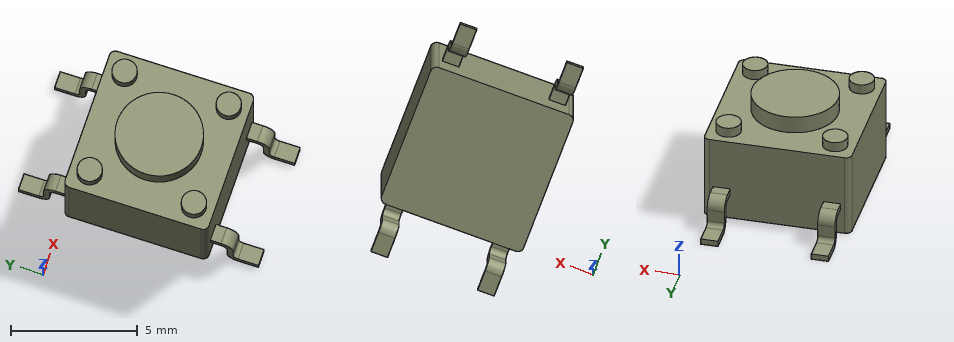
import cadquery as cq

body_side = 6.0
body_bottom = 0.1
body_top = 3.65
corner_radius = 0.25

button_diameter = 3.5
button_top = 4.38
peg_diameter = 1.0
peg_top = 4.07
peg_offset = 2.17

lead_span = 10.0
lead_width = 0.7
lead_thickness = 0.25
lead_offset = 2.25
lead_top = 1.46
riser_outer_y = 3.95
shoulder_radius = 0.5
foot_radius = 0.45
lead_embed = 0.1


def make_body():
    height = body_top - body_bottom
    block = cq.Workplane("XY").workplane(offset=body_bottom).rect(body_side, body_side).extrude(height)
    return block.edges("|Z").fillet(corner_radius)


def make_round_tops():
    button = cq.Workplane("XY").workplane(offset=body_top)
    button = button.circle(button_diameter / 2).extrude(button_top - body_top)
    pegs = (
        cq.Workplane("XY")
        .workplane(offset=body_top)
        .rect(2 * peg_offset, 2 * peg_offset, forConstruction=True)
        .vertices()
        .circle(peg_diameter / 2)
        .extrude(peg_top - body_top)
    )
    return button.union(pegs)


def make_lead():
    """Lead on the +Y side, centred on X = 0."""
    root_y = body_side / 2 - lead_embed
    tip_y = lead_span / 2
    riser_inner_y = riser_outer_y - lead_thickness
    shoulder_inner = shoulder_radius - lead_thickness
    foot_inner = foot_radius - lead_thickness
    shoulder_y = riser_outer_y - shoulder_radius
    shoulder_z = lead_top - shoulder_radius
    foot_y = riser_inner_y + foot_radius
    profile = (
        cq.Workplane("YZ")
        .moveTo(root_y, lead_top)
        .lineTo(shoulder_y, lead_top)
        .radiusArc((riser_outer_y, shoulder_z), shoulder_radius)
        .lineTo(riser_outer_y, foot_radius)
        .radiusArc((foot_y, lead_thickness), -foot_inner)
        .lineTo(tip_y, lead_thickness)
        .lineTo(tip_y, 0)
        .lineTo(foot_y, 0)
        .radiusArc((riser_inner_y, foot_radius), foot_radius)
        .lineTo(riser_inner_y, shoulder_z)
        .radiusArc((shoulder_y, lead_top - lead_thickness), -shoulder_inner)
        .lineTo(root_y, lead_top - lead_thickness)
        .close()
    )
    return profile.extrude(lead_width / 2, both=True)


result = make_body().union(make_round_tops())
for turn in (0, 180):
    for x in (-lead_offset, lead_offset):
        lead = make_lead().rotate((0, 0, 0), (0, 0, 1), turn)
        result = result.union(lead.translate((x, 0, 0)))